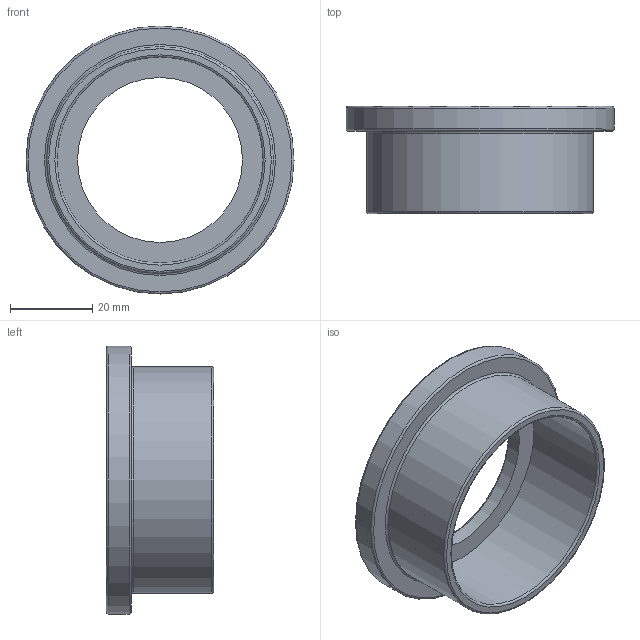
import cadquery as cq
import math

flange_diameter = 65.0
flange_thickness = 6.0
sleeve_outer_diameter = 55.0
sleeve_inner_diameter = 50.0
bore_diameter = 40.0
total_length = 26.0
web_thickness = 4.0
edge_radius = 0.5
matching_tolerance = 1e-3

flange_radius = flange_diameter / 2
sleeve_radius = sleeve_outer_diameter / 2
socket_radius = sleeve_inner_diameter / 2
bore_radius = bore_diameter / 2
flange_back = 0.0
flange_front = flange_back - flange_thickness
web_front = flange_back - web_thickness
mouth = flange_back - total_length


def revolved_body():
    """Flanged sleeve with a stepped bore, sharp edges."""
    profile = [
        (bore_radius, flange_back),
        (flange_radius, flange_back),
        (flange_radius, flange_front),
        (sleeve_radius, flange_front),
        (sleeve_radius, mouth),
        (socket_radius, mouth),
        (socket_radius, web_front),
        (bore_radius, web_front),
    ]
    sketch = cq.Workplane("ZY").polyline(profile).close()
    return sketch.revolve(360, (0, 0, 0), (0, 1, 0))


def circles(body, *rings):
    """Circular edges of the body, each ring given as (radius, Y position)."""

    def wanted(edge):
        if edge.geomType() != "CIRCLE":
            return False
        height = edge.arcCenter().y
        return any(
            math.hypot(edge.radius() - radius, height - y) < matching_tolerance
            for radius, y in rings
        )

    return body.edges().filter(wanted)


def round_edges(body):
    """Round the flange rim, the sleeve root, both mouth edges and the back of the bore."""
    rings = [
        (flange_radius, flange_back),
        (flange_radius, flange_front),
        (sleeve_radius, flange_front),
        (sleeve_radius, mouth),
        (socket_radius, mouth),
        (bore_radius, flange_back),
    ]
    return circles(body, *rings).fillet(edge_radius)


result = round_edges(revolved_body())